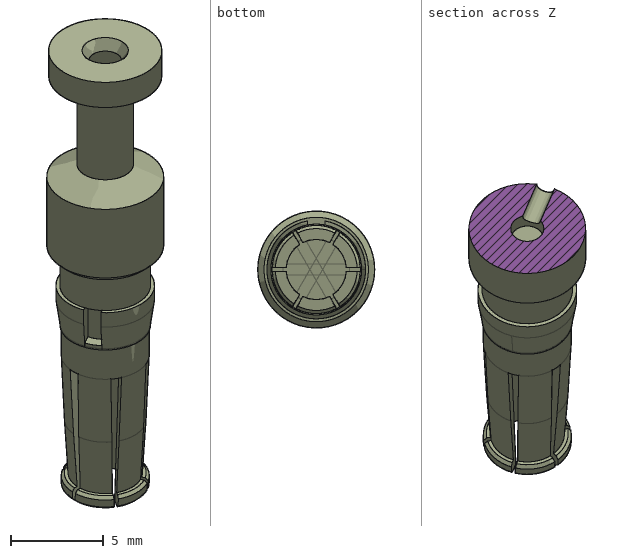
import cadquery as cq
import math

total_height = 28.25

head_radius = 3.05
head_bottom = 26.6
neck_radius = 1.53
neck_top = 25.85
neck_bottom = 20.88

body_radius = 6.3 / 2
body_top = 20.05
body_chamfer = 0.35
body_bottom = 15.25

shank_radius = 4.9 / 2
ring_radius = 2.65
ring_top = 13.0
ring_taper_top = 12.05
ring_bottom = 10.5

groove_radius = 1.85
groove_bottom = 10.7
ring_gap_width = 0.95
rim_bottom = 10.42

barrel_radius = 2.37
finger_root = 8.48
finger_knee = 4.27
finger_knee_radius = 2.2
finger_end_radius = 2.0
lip_radius = barrel_radius
lip_height = 0.8
lip_chamfer = 0.17

slot_count = 3
slot_width_root = 0.6
slot_width_tip = 0.2
socket_radius_root = 1.78
socket_radius_tip = 1.6

cup_radius = 0.88
cup_mouth_radius = 1.25
countersink_angle = 60.0
cup_floor = 17.23
drill_point_angle = 118.0

inspection_diameter = 1.0
inspection_height = 18.08


def turned(points):
    """Solid of revolution about Z from (radius, height) points."""
    return cq.Workplane("XZ").polyline(points).close().revolve(360, (0, 0, 0), (0, 1, 0))


def cone_height(radius_change, included_angle):
    return radius_change / math.tan(math.radians(included_angle / 2))


def outer_body():
    return turned([
        (0, total_height),
        (head_radius, total_height),
        (head_radius, head_bottom),
        (neck_radius, neck_top),
        (neck_radius, neck_bottom),
        (body_radius, body_top),
        (body_radius, body_bottom + body_chamfer),
        (body_radius - body_chamfer, body_bottom),
        (shank_radius, body_bottom),
        (shank_radius, ring_top),
        (ring_radius, ring_top),
        (ring_radius, ring_taper_top),
        (shank_radius, ring_bottom),
        (shank_radius, rim_bottom),
        (barrel_radius, rim_bottom),
        (barrel_radius, finger_root),
        (finger_knee_radius, finger_knee),
        (finger_end_radius, lip_height),
        (lip_radius - lip_chamfer, lip_height),
        (lip_radius, lip_height - lip_chamfer),
        (lip_radius, lip_chamfer),
        (lip_radius - lip_chamfer, 0),
        (0, 0),
    ])


def solder_cup():
    countersink_depth = cone_height(cup_mouth_radius - cup_radius, countersink_angle)
    return turned([
        (0, total_height),
        (cup_mouth_radius, total_height),
        (cup_radius, total_height - countersink_depth),
        (cup_radius, cup_floor),
        (0, cup_floor - cone_height(cup_radius, drill_point_angle)),
    ])


def inspection_hole():
    """Radial hole from the -X side to the axis."""
    return (
        cq.Workplane("YZ", origin=(-body_radius, 0, inspection_height))
        .circle(inspection_diameter / 2)
        .extrude(body_radius)
    )


def ring_gap():
    """Gap in the clip ring on the -Y side, stopping at the groove and its lower rim."""
    gap = cq.Workplane("XY", origin=(0, -ring_radius / 2, ring_bottom)).box(
        ring_gap_width, ring_radius, ring_top - ring_bottom, centered=(True, True, False)
    )
    core = turned([
        (0, ring_bottom),
        (shank_radius, ring_bottom),
        (shank_radius, groove_bottom),
        (groove_radius, groove_bottom),
        (groove_radius, ring_top),
        (0, ring_top),
    ])
    return gap.cut(core)


def socket():
    return turned([
        (0, finger_root),
        (socket_radius_root, finger_root),
        (socket_radius_tip, 0),
        (0, 0),
    ])


def finger_slot(angle):
    """Tapered slot through the full diameter, turned about Z by the angle."""
    return (
        cq.Workplane("YZ")
        .polyline([
            (-slot_width_root / 2, finger_root),
            (slot_width_root / 2, finger_root),
            (slot_width_tip / 2, 0),
            (-slot_width_tip / 2, 0),
        ])
        .close()
        .extrude(ring_radius, both=True)
        .rotate((0, 0, 0), (0, 0, 1), angle)
    )


result = outer_body().cut(solder_cup()).cut(inspection_hole()).cut(ring_gap()).cut(socket())
for slot_index in range(slot_count):
    result = result.cut(finger_slot(slot_index * 180 / slot_count))